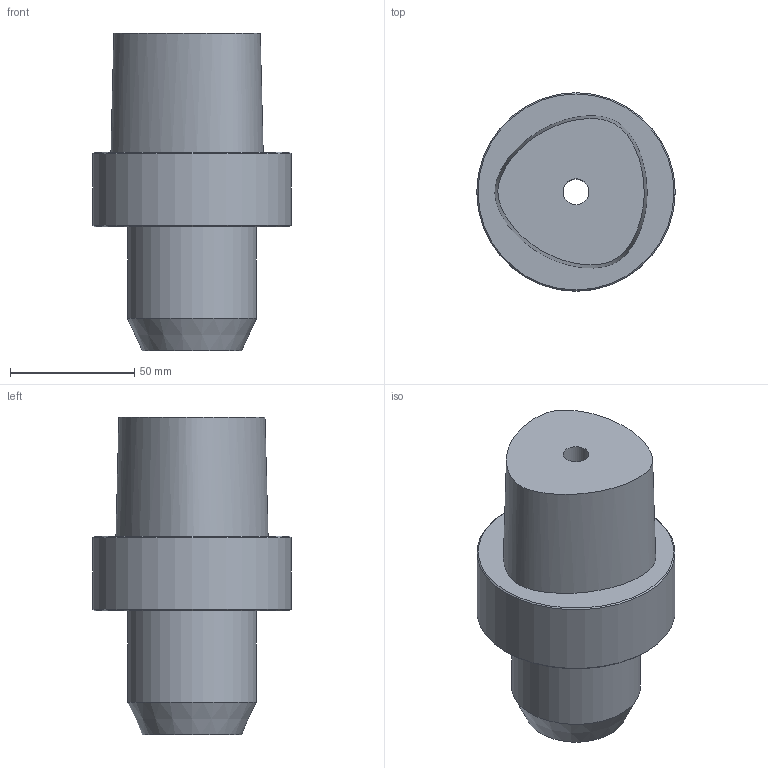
import cadquery as cq
import math

flange_diameter = 80.0
flange_height = 30.0
flange_chamfer = 0.5

shank_length = 48.0
shank_base_diameter = 61.4
shank_taper = 1 / 20
lobe_eccentricity = 2.0
lobe_points = 72

stem_diameter = 52.0
stem_length = 50.0
stem_cone_height = 13.0
stem_end_diameter = 40.0

bore_diameter = 10.4

shank_top_diameter = shank_base_diameter - shank_taper * shank_length
stem_cylinder_length = stem_length - stem_cone_height
flange_bottom = -flange_height
stem_bottom = flange_bottom - stem_length


def lobed_point(mean_diameter, angle):
    """Point of a three-lobed polygon of constant width, with one lobe toward -X."""
    radius = mean_diameter / 2
    ecc = lobe_eccentricity
    x = radius * math.cos(angle) - 2 * ecc * math.cos(2 * angle) + ecc * math.cos(4 * angle)
    y = radius * math.sin(angle) + 2 * ecc * math.sin(2 * angle) + ecc * math.sin(4 * angle)
    return (x, y)


def lobed_section(mean_diameter):
    step = 2 * math.pi / lobe_points
    return [lobed_point(mean_diameter, i * step) for i in range(lobe_points)]


def make_shank():
    return (
        cq.Workplane("XY")
        .spline(lobed_section(shank_base_diameter), periodic=True)
        .close()
        .workplane(offset=shank_length)
        .spline(lobed_section(shank_top_diameter), periodic=True)
        .close()
        .loft(ruled=True, combine=True)
    )


def make_flange():
    return (
        cq.Workplane("XY")
        .workplane(offset=flange_bottom)
        .circle(flange_diameter / 2)
        .extrude(flange_height)
        .edges()
        .chamfer(flange_chamfer)
    )


def make_stem():
    profile = [
        (0, flange_bottom),
        (stem_diameter / 2, flange_bottom),
        (stem_diameter / 2, flange_bottom - stem_cylinder_length),
        (stem_end_diameter / 2, stem_bottom),
        (0, stem_bottom),
    ]
    return cq.Workplane("XZ").polyline(profile).close().revolve(360, (0, 0, 0), (0, 1, 0))


def make_bore():
    return (
        cq.Workplane("XY")
        .workplane(offset=stem_bottom)
        .circle(bore_diameter / 2)
        .extrude(shank_length - stem_bottom)
    )


result = make_flange().union(make_stem()).union(make_shank()).cut(make_bore())